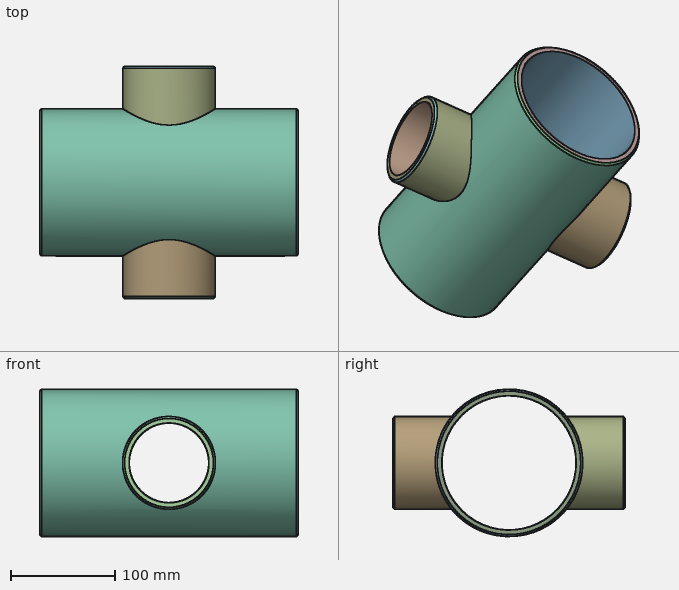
import cadquery as cq

run_length = 248.0
run_diameter = 141.3
branch_span = 222.5
branch_diameter = 89.0
wall = 6.5
bevel = 2.0


def bevelled_cylinder(plane, diameter, length):
    """Solid cylinder centred on the origin, with both end rims bevelled."""
    cylinder = cq.Workplane(plane).circle(diameter / 2).extrude(length / 2, both=True)
    return cylinder.faces("|X or |Y").chamfer(bevel)


def bore(plane, outer_diameter, length):
    """Through bore that leaves the common wall thickness."""
    return cq.Workplane(plane).circle(outer_diameter / 2 - wall).extrude(length / 2, both=True)


run_body = bevelled_cylinder("YZ", run_diameter, run_length)
branch_body = bevelled_cylinder("XZ", branch_diameter, branch_span)
body = run_body.union(branch_body)

run_bore = bore("YZ", run_diameter, run_length)
branch_bore = bore("XZ", branch_diameter, branch_span)
result = body.cut(run_bore).cut(branch_bore)